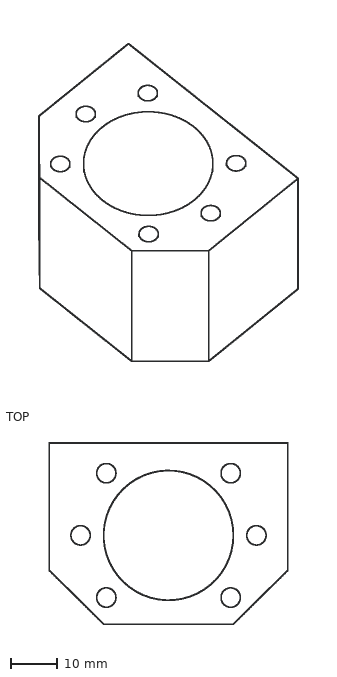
import cadquery as cq
import math

width = 51.65
depth = 39.2
height = 40.0
bore_diameter = 28.0
bore_to_back = height / 2

front_flat_width = bore_diameter
corner_cut_depth = 11.65

bolt_circle_radius = 19.0
bolt_hole_diameter = 4.2
bolt_hole_depth = 12.0
drill_tip_angle = 118.0
bolt_angles = [0, 45, 135, 180, 225, 315]


def make_block():
    """Rectangular block with its two front vertical corners cut off."""
    half_width = width / 2
    half_flat = front_flat_width / 2
    back = bore_to_back
    front = back - depth
    outline = [
        (-half_width, back),
        (half_width, back),
        (half_width, front + corner_cut_depth),
        (half_flat, front),
        (-half_flat, front),
        (-half_width, front + corner_cut_depth),
    ]
    return cq.Workplane("XY").polyline(outline).close().extrude(height)


def make_bore():
    """Cylinder that passes through the full height of the block."""
    return cq.Workplane("XY").circle(bore_diameter / 2).extrude(height)


def make_bolt_hole():
    """Drilled hole with a conical tip, its mouth at the origin and pointing down."""
    radius = bolt_hole_diameter / 2
    tip_length = radius / math.tan(math.radians(drill_tip_angle / 2))
    profile = [
        (0, 0),
        (radius, 0),
        (radius, -bolt_hole_depth),
        (0, -bolt_hole_depth - tip_length),
    ]
    return cq.Workplane("XZ").polyline(profile).close().revolve(360, (0, 0, 0), (0, 1, 0))


result = make_block().cut(make_bore())

for angle in bolt_angles:
    x = bolt_circle_radius * math.cos(math.radians(angle))
    y = bolt_circle_radius * math.sin(math.radians(angle))
    result = result.cut(make_bolt_hole().translate((x, y, height)))